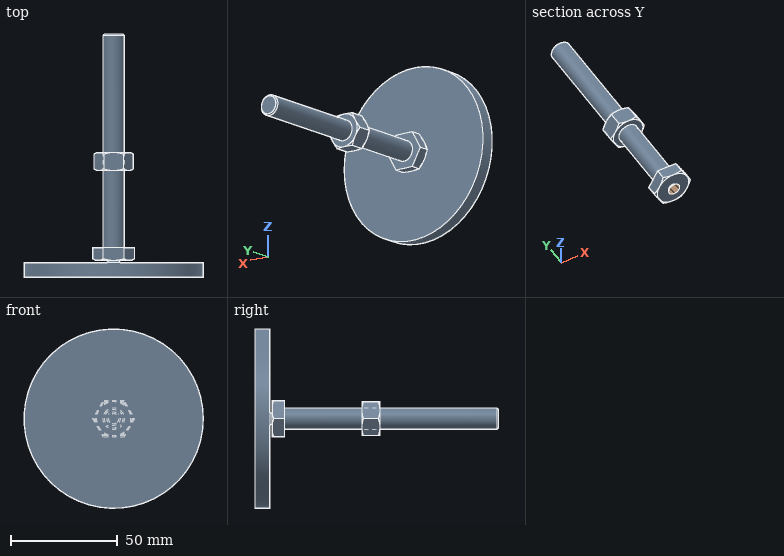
import cadquery as cq
import math

total_length = 114.0

pad_diameter = 84.0
pad_thickness = 7.0

neck_length = 1.0
neck_pad_diameter = 6.3
neck_head_diameter = 4.8

head_across_flats = 17.0
head_height = 5.9

rod_diameter = 10.0
rod_chamfer = 0.7

nut_across_flats = 16.0
nut_height = 8.4
nut_start = 50.0

hex_chamfer_angle = 30.0

head_start = pad_thickness + neck_length
rod_start = head_start + head_height


def plane_at(y):
    """Workplane at the given Y, facing along +Y, with its local X along the part's X."""
    return cq.Workplane(cq.Plane(origin=(0, y, 0), xDir=(1, 0, 0), normal=(0, 1, 0)))


def cylinder(diameter, start, length):
    return plane_at(start).circle(diameter / 2).extrude(length)


def chamfered_hexagon(across_flats, start, height, chamfer_far_end):
    """Hexagon with corners on the X axis and conically chamfered corners.

    The chamfer cone meets the end face on the hexagon's inscribed circle.
    The end at `start` is always chamfered; the other end is optional.
    """
    corner_radius = across_flats / math.sqrt(3)
    face_radius = across_flats / 2
    chamfer_height = (corner_radius - face_radius) * math.tan(math.radians(hex_chamfer_angle))
    end = start + height

    hexagon = plane_at(start).polygon(6, 2 * corner_radius).extrude(height)
    envelope_profile = [
        (0, start),
        (face_radius, start),
        (corner_radius, start + chamfer_height),
    ]
    if chamfer_far_end:
        envelope_profile += [(corner_radius, end - chamfer_height), (face_radius, end)]
    else:
        envelope_profile += [(corner_radius, end)]
    envelope_profile += [(0, end)]
    envelope = cq.Workplane("XY").polyline(envelope_profile).close().revolve(360, (0, 0, 0), (0, 1, 0))
    return hexagon.intersect(envelope)


def make_pad():
    return cylinder(pad_diameter, 0, pad_thickness)


def make_stud():
    """Rod, hexagonal head and flared neck, standing on the pad."""
    neck = (
        plane_at(pad_thickness)
        .circle(neck_pad_diameter / 2)
        .workplane(offset=neck_length)
        .circle(neck_head_diameter / 2)
        .loft(ruled=True)
    )
    head = chamfered_hexagon(head_across_flats, head_start, head_height, chamfer_far_end=False)
    rod = cylinder(rod_diameter, rod_start, total_length - rod_start)
    rod = rod.faces(">Y").chamfer(rod_chamfer)
    return neck.union(head).union(rod)


def make_nut():
    """Lock nut with a bore that fits the rod."""
    nut = chamfered_hexagon(nut_across_flats, nut_start, nut_height, chamfer_far_end=True)
    return nut.cut(cylinder(rod_diameter, nut_start, nut_height))


pad = make_pad()
stud = make_stud()
nut = make_nut()

result = cq.Compound.makeCompound([pad.val(), stud.val(), nut.val()])